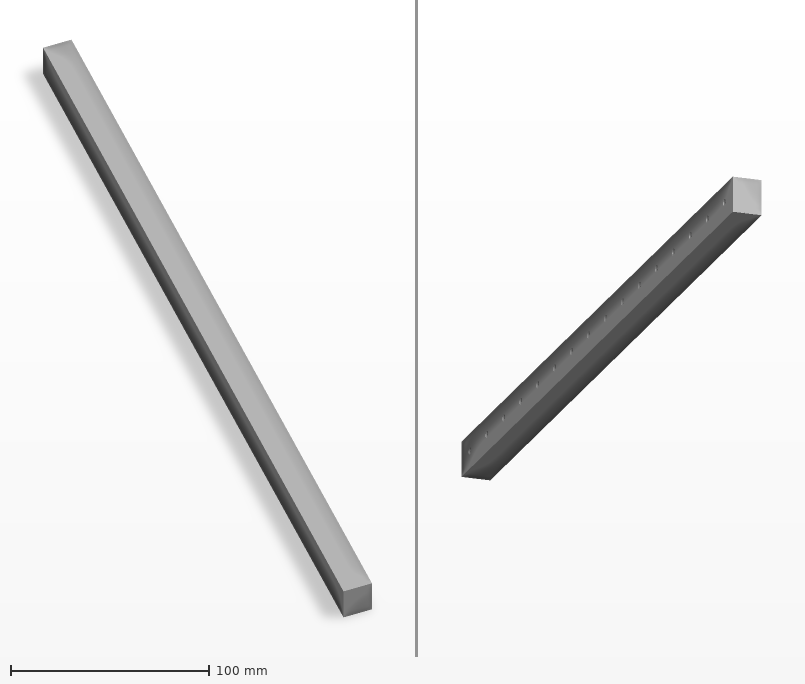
import cadquery as cq
import math

span_x = 411.0
span_y = 25.5
bar_height = 19.0
turn_degrees = 1.4

turn = math.radians(turn_degrees)
bar_length = (span_x * math.cos(turn) - span_y * math.sin(turn)) / math.cos(2 * turn)
bar_width = (span_y * math.cos(turn) - span_x * math.sin(turn)) / math.cos(2 * turn)

skin = 0.2
back_wall = 1.03
core_half_height = bar_height / 2 - skin
core_front_y = skin - bar_width / 2
core_crown_y = bar_width / 2 - back_wall
core_shoulder_y = 1.2

hole_diameter = 3.6
hole_count = 16
hole_spacing = bar_length / hole_count


def make_core_blank():
    """The D-shaped prism: flat front, flat top and bottom, round back."""
    return (
        cq.Workplane("YZ")
        .moveTo(core_front_y, -core_half_height)
        .lineTo(core_shoulder_y, -core_half_height)
        .threePointArc((core_crown_y, 0), (core_shoulder_y, core_half_height))
        .lineTo(core_front_y, core_half_height)
        .close()
        .extrude(bar_length / 2, both=True)
    )


def make_hole_cutters():
    """Round cutters along +Y, from the middle of the bar out through its back face."""
    first_hole_x = -hole_spacing * (hole_count - 1) / 2
    centres = [(first_hole_x + index * hole_spacing, 0) for index in range(hole_count)]
    return cq.Workplane("XZ").pushPoints(centres).circle(hole_diameter / 2).extrude(-bar_width)


def turn_about_z(body):
    """Turn a body about the Z axis from along X to its place."""
    return body.rotate((0, 0, 0), (0, 0, 1), turn_degrees)


def make_core():
    """Core: fills the bore of the casing and closes the inner ends of the holes."""
    return turn_about_z(make_core_blank())


def make_casing():
    """Casing: rectangular bar with a D-shaped bore and a row of holes in its back wall."""
    bar = cq.Workplane("XY").box(bar_length, bar_width, bar_height)
    return turn_about_z(bar.cut(make_core_blank()).cut(make_hole_cutters()))


casing = make_casing()
core = make_core()
result = cq.Compound.makeCompound([casing.val(), core.val()])